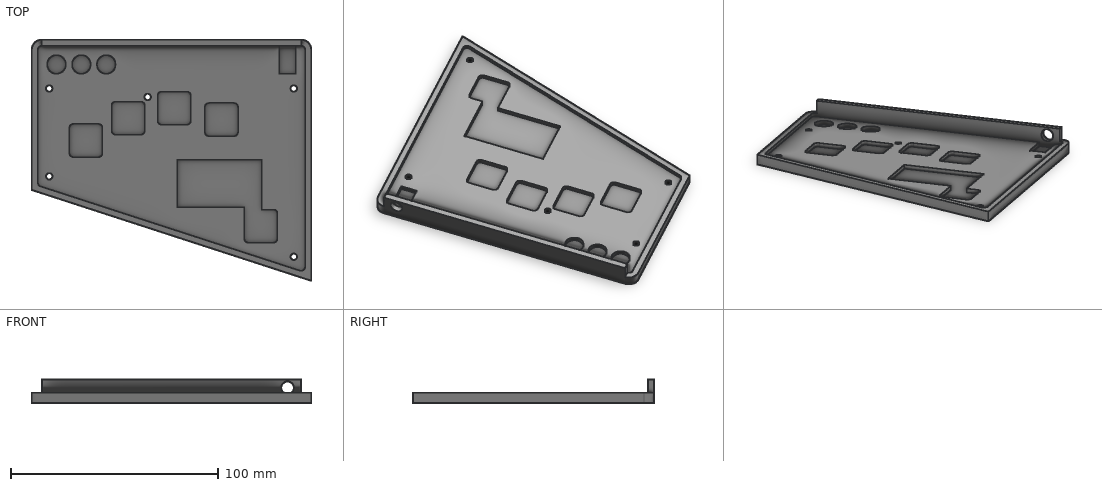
import cadquery as cq
import math

plate_width = 135.0
right_depth = 116.46
front_slope = 18.0
left_depth = right_depth - plate_width * math.tan(math.radians(front_slope))
corner_radius = 5.0
rim_height = 5.0
floor_height = 3.35
rim_width = 3.0
recess_corner_radius = corner_radius - rim_width

wall_height = 11.35
wall_thickness = rim_width
wall_left = corner_radius
wall_right = plate_width - corner_radius

cable_hole_diameter = 6.0
cable_hole_x = 123.5
cable_hole_z = (floor_height + wall_height) / 2
channel_width = 8.0
channel_end_y = -16.6

pocket_depth = 2.0
pocket_bottom = floor_height - pocket_depth
key_size = 16.0
key_corner_radius = 2.0
finger_key_centers = [(26.2, -48.7), (46.6, -37.9), (68.8, -33.1), (91.6, -38.6)]
thumb_key_center = (110.6, -90.0)
board_left = 70.3
board_right = 111.1
board_back = -58.0
board_front = -80.8
button_diameter = 9.0
button_pitch = 12.0
button_count = 3
first_button_x = 12.0
button_y = -12.0

screw_diameter = 3.0
screw_inset_x = 8.5
back_screw_y = -23.6
screw_centers = [
    (screw_inset_x, back_screw_y),
    (screw_inset_x, -66.0),
    (plate_width - screw_inset_x, back_screw_y),
    (plate_width - screw_inset_x, -104.8),
    (56.0, -27.7),
]


def box(left, right, front, back, bottom, top):
    """Axis-aligned block given by its six limits."""
    block = cq.Workplane("XY").box(right - left, back - front, top - bottom, centered=False)
    return block.translate((left, front, bottom))


def outline(bottom):
    """Four-sided plate outline with sharp corners, at the given height."""
    corners = [(0, 0), (plate_width, 0), (plate_width, -right_depth), (0, -left_depth)]
    return cq.Workplane("XY").workplane(offset=bottom).polyline(corners).close()


def make_tray():
    """Plate with rounded back corners and a shallow recess inside its rim."""
    plate = outline(0).extrude(rim_height)
    plate = plate.edges("|Z and >Y").fillet(corner_radius)
    recess = outline(floor_height).offset2D(-rim_width).extrude(rim_height - floor_height)
    recess = recess.edges("|Z").fillet(recess_corner_radius)
    return plate.cut(recess)


def make_wall():
    return box(wall_left, wall_right, -wall_thickness, 0, floor_height, wall_height)


def make_cable_hole():
    return (
        cq.Workplane("XZ", origin=(cable_hole_x, 0, cable_hole_z))
        .circle(cable_hole_diameter / 2)
        .extrude(wall_thickness)
    )


def make_channel():
    half_width = channel_width / 2
    return box(
        cable_hole_x - half_width,
        cable_hole_x + half_width,
        channel_end_y,
        -wall_thickness,
        pocket_bottom,
        floor_height,
    )


def make_key_pockets():
    return (
        cq.Workplane("XY", origin=(0, 0, pocket_bottom))
        .pushPoints(finger_key_centers + [thumb_key_center])
        .rect(key_size, key_size)
        .extrude(pocket_depth)
        .edges("|Z")
        .fillet(key_corner_radius)
    )


def make_board_pocket():
    """Circuit board pocket, joined to the thumb key pocket by a filled square corner."""
    board = box(board_left, board_right, board_front, board_back, pocket_bottom, floor_height)
    thumb_left = thumb_key_center[0] - key_size / 2
    link = box(thumb_left, board_right, thumb_key_center[1], board_front, pocket_bottom, floor_height)
    return board.union(link)


def make_button_pockets():
    centers = [(first_button_x + i * button_pitch, button_y) for i in range(button_count)]
    return (
        cq.Workplane("XY", origin=(0, 0, pocket_bottom))
        .pushPoints(centers)
        .circle(button_diameter / 2)
        .extrude(pocket_depth)
    )


def make_screw_holes():
    return cq.Workplane("XY").pushPoints(screw_centers).circle(screw_diameter / 2).extrude(floor_height)


result = (
    make_tray()
    .union(make_wall())
    .cut(make_cable_hole())
    .cut(make_channel())
    .cut(make_key_pockets())
    .cut(make_board_pocket())
    .cut(make_button_pockets())
    .cut(make_screw_holes())
)